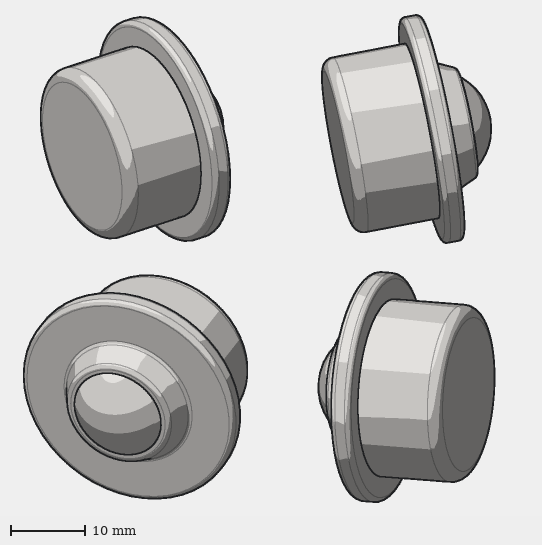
import cadquery as cq
import math


cup_diameter = 24.0
cup_depth = 11.5
cup_fillet = 1.6

flange_diameter = 31.0
flange_thickness = 2.8
flange_fillet = 0.7

collar_base_diameter = 18.1
collar_height = 3.5
collar_half_angle = 25.0
collar_top_fillet = 0.8
collar_root_fillet = 0.5

ball_diameter = 15.875
ball_protrusion = 3.16

cup_radius = cup_diameter / 2
flange_radius = flange_diameter / 2
collar_base_radius = collar_base_diameter / 2
collar_taper = collar_height * math.tan(math.radians(collar_half_angle))
collar_top_radius = collar_base_radius - collar_taper
collar_top_y = flange_thickness + collar_height
ball_radius = ball_diameter / 2
ball_center_y = collar_top_y + ball_protrusion - ball_radius

match_tolerance = 1e-4


def make_sharp_housing():
    """Cup, flange and collar turned as one body with sharp edges."""
    return (
        cq.Workplane("XY")
        .moveTo(0, -cup_depth)
        .lineTo(cup_radius, -cup_depth)
        .lineTo(cup_radius, 0)
        .lineTo(flange_radius, 0)
        .lineTo(flange_radius, flange_thickness)
        .lineTo(collar_base_radius, flange_thickness)
        .lineTo(collar_top_radius, collar_top_y)
        .lineTo(0, collar_top_y)
        .close()
        .revolve(360, (0, 0, 0), (0, 1, 0))
    )


def round_circle(body, radius, y, fillet_radius):
    """Fillet the circular edge of the given radius that lies at height y."""

    def is_wanted(edge):
        same_radius = abs(edge.radius() - radius) < match_tolerance
        same_height = abs(edge.startPoint().y - y) < match_tolerance
        return same_radius and same_height

    return body.edges("%CIRCLE").filter(is_wanted).fillet(fillet_radius)


def make_housing():
    """Housing with all its rims and the collar root rounded."""
    housing = make_sharp_housing()
    housing = round_circle(housing, cup_radius, -cup_depth, cup_fillet)
    housing = round_circle(housing, flange_radius, 0, flange_fillet)
    housing = round_circle(housing, flange_radius, flange_thickness, flange_fillet)
    housing = round_circle(housing, collar_base_radius, flange_thickness, collar_root_fillet)
    return round_circle(housing, collar_top_radius, collar_top_y, collar_top_fillet)


def make_ball():
    """Ball seated in the collar."""
    return cq.Workplane("XY").sphere(ball_radius).translate((0, ball_center_y, 0))


result = make_housing().union(make_ball())